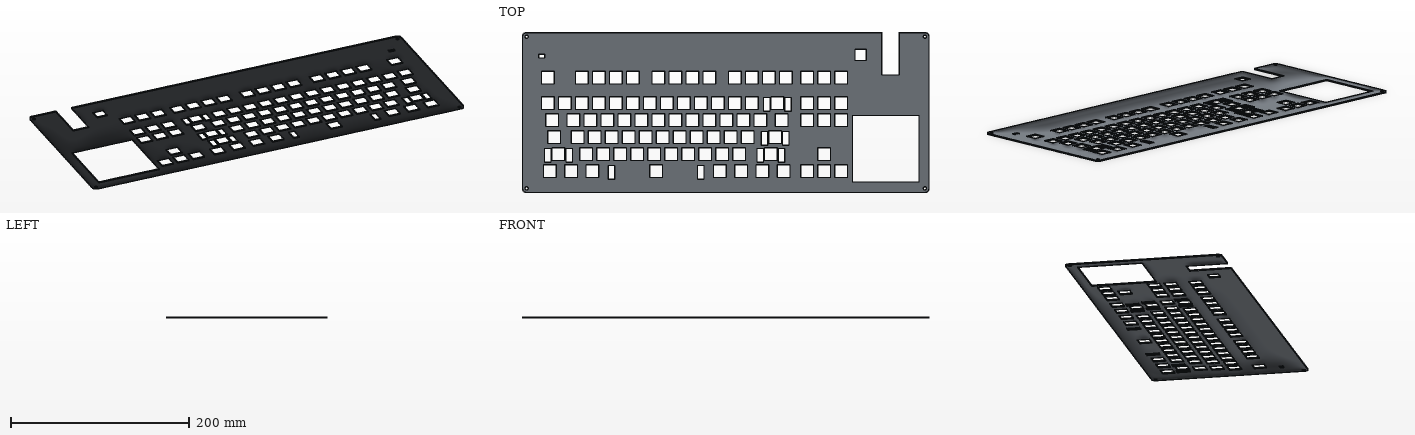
import cadquery as cq

PLATE_LENGTH = 455.8
PLATE_WIDTH = 179.4
PLATE_THICKNESS = 1.5
CORNER_RADIUS = 4.5

SCREW_DIAMETER = 3.4
SCREW_INSET = 4.7

KEY_UNIT = 19.05
KEY_CUTOUT = 14.0
ESCAPE_X = -199.4
ESCAPE_Y = 39.2
FUNCTION_GAP = 0.5
FUNCTION_ROW = 0
NUMBER_ROW = FUNCTION_ROW + 1 + FUNCTION_GAP
TAB_ROW = NUMBER_ROW + 1
CAPS_ROW = NUMBER_ROW + 2
SHIFT_ROW = NUMBER_ROW + 3
BOTTOM_ROW = NUMBER_ROW + 4

MAIN_BLOCK_END = 15
NAVIGATION_GAP = 0.25
NAVIGATION_START = MAIN_BLOCK_END + NAVIGATION_GAP
NAVIGATION_COUNT = 3
FUNCTION_GROUP_STARTS = (2, 6.5, 11)
FUNCTION_GROUP_SIZE = 4
NUMBER_COUNT = 13
TAB_WIDTH = 1.5
TAB_COUNT = 12
CAPS_WIDTH = 1.75
CAPS_COUNT = 11
SHIFT_WIDTH = 2.25
SHIFT_COUNT = 10
MODIFIER_WIDTH = 1.25
LEFT_MODIFIERS = 3
RIGHT_MODIFIERS = 4

STABILISER_WIDTH = 7.0
STABILISER_TOP = 6.0
STABILISER_BOTTOM = -9.0
STABILISER_REACH = 11.94
SPACE_STABILISER_REACH = 50.0

INDICATOR_LENGTH = 6.6
INDICATOR_WIDTH = 4.0
INDICATOR_CENTER = (-206.2, 63.3)
SWITCH_SIDE = 12.5
SWITCH_CENTER = (151.2, 64.6)
WINDOW_SIDE = 74.2
WINDOW_CENTER = (179.3, -40.5)
NOTCH_WIDTH = 19.2
NOTCH_DEPTH = 47.6
NOTCH_CENTER_X = 184.7


def run_of_keys(start, count):
    """Positions of neighbouring one-unit keys, in key units."""
    return [start + index for index in range(count)]


def wide_key(start, key_width):
    """Centre of a wide key whose left side is start units from the escape key's left side."""
    return start + (key_width - 1) / 2


def run_of_wide_keys(start, key_width, count):
    """Centres of neighbouring keys of one width, in key units."""
    return [wide_key(start + index * key_width, key_width) for index in range(count)]


def key_point(column, row):
    """Plate coordinates of a position on the key grid."""
    return (ESCAPE_X + column * KEY_UNIT, ESCAPE_Y - row * KEY_UNIT)


BACKSPACE = wide_key(NUMBER_COUNT, MAIN_BLOCK_END - NUMBER_COUNT)
TAB = wide_key(0, TAB_WIDTH)
BACKSLASH = wide_key(MAIN_BLOCK_END - TAB_WIDTH, TAB_WIDTH)
CAPS_LOCK = wide_key(0, CAPS_WIDTH)
ENTER = wide_key(CAPS_WIDTH + CAPS_COUNT, MAIN_BLOCK_END - CAPS_WIDTH - CAPS_COUNT)
LEFT_SHIFT = wide_key(0, SHIFT_WIDTH)
RIGHT_SHIFT = wide_key(SHIFT_WIDTH + SHIFT_COUNT, MAIN_BLOCK_END - SHIFT_WIDTH - SHIFT_COUNT)
SPACE_START = LEFT_MODIFIERS * MODIFIER_WIDTH
SPACE_END = MAIN_BLOCK_END - RIGHT_MODIFIERS * MODIFIER_WIDTH
SPACE_BAR = wide_key(SPACE_START, SPACE_END - SPACE_START)

FUNCTION_KEYS = []
for group_start in FUNCTION_GROUP_STARTS:
    FUNCTION_KEYS += run_of_keys(group_start, FUNCTION_GROUP_SIZE)

NAVIGATION_KEYS = run_of_keys(NAVIGATION_START, NAVIGATION_COUNT)
UP_ARROW = NAVIGATION_START + 1

KEY_ROWS = {
    FUNCTION_ROW: [0] + FUNCTION_KEYS + NAVIGATION_KEYS,
    NUMBER_ROW: run_of_keys(0, NUMBER_COUNT) + [BACKSPACE] + NAVIGATION_KEYS,
    TAB_ROW: [TAB] + run_of_keys(TAB_WIDTH, TAB_COUNT) + [BACKSLASH] + NAVIGATION_KEYS,
    CAPS_ROW: [CAPS_LOCK] + run_of_keys(CAPS_WIDTH, CAPS_COUNT) + [ENTER],
    SHIFT_ROW: [LEFT_SHIFT] + run_of_keys(SHIFT_WIDTH, SHIFT_COUNT) + [RIGHT_SHIFT, UP_ARROW],
    BOTTOM_ROW: run_of_wide_keys(0, MODIFIER_WIDTH, LEFT_MODIFIERS)
    + [SPACE_BAR]
    + run_of_wide_keys(SPACE_END, MODIFIER_WIDTH, RIGHT_MODIFIERS)
    + NAVIGATION_KEYS,
}

STABILISED_KEYS = [
    (BACKSPACE, NUMBER_ROW, STABILISER_REACH),
    (ENTER, CAPS_ROW, STABILISER_REACH),
    (LEFT_SHIFT, SHIFT_ROW, STABILISER_REACH),
    (RIGHT_SHIFT, SHIFT_ROW, STABILISER_REACH),
    (SPACE_BAR, BOTTOM_ROW, SPACE_STABILISER_REACH),
]


def make_plate():
    """Flat plate with rounded corners, centred on the Z axis with its underside at Z = 0."""
    blank = cq.Workplane("XY").box(PLATE_LENGTH, PLATE_WIDTH, PLATE_THICKNESS, centered=(True, True, False))
    return blank.edges("|Z").fillet(CORNER_RADIUS)


def cut_rectangles(plate, centers, length, width):
    """Cut equal rectangular openings through the plate."""
    cutters = cq.Workplane("XY").pushPoints(centers).rect(length, width).extrude(PLATE_THICKNESS)
    return plate.cut(cutters)


def cut_screw_holes(plate):
    """Cut one screw hole near each corner."""
    return (
        plate.faces(">Z")
        .workplane(origin=(0, 0, PLATE_THICKNESS))
        .rect(PLATE_LENGTH - 2 * SCREW_INSET, PLATE_WIDTH - 2 * SCREW_INSET, forConstruction=True)
        .vertices()
        .hole(SCREW_DIAMETER)
    )


def cut_keys(plate):
    """Cut a square opening for every key switch."""
    centers = [key_point(column, row) for row, columns in KEY_ROWS.items() for column in columns]
    return cut_rectangles(plate, centers, KEY_CUTOUT, KEY_CUTOUT)


def cut_stabilisers(plate):
    """Cut a pair of slots beside each wide key."""
    slot_height = STABILISER_TOP - STABILISER_BOTTOM
    slot_offset = (STABILISER_TOP + STABILISER_BOTTOM) / 2
    centers = []
    for column, row, reach in STABILISED_KEYS:
        key_x, key_y = key_point(column, row)
        for side in (-1, 1):
            centers.append((key_x + side * reach, key_y + slot_offset))
    return cut_rectangles(plate, centers, STABILISER_WIDTH, slot_height)


def cut_notch(plate):
    """Cut the notch that opens through the back edge."""
    notch_center = (NOTCH_CENTER_X, (PLATE_WIDTH - NOTCH_DEPTH) / 2)
    return cut_rectangles(plate, [notch_center], NOTCH_WIDTH, NOTCH_DEPTH)


result = make_plate()
result = cut_screw_holes(result)
result = cut_keys(result)
result = cut_stabilisers(result)
result = cut_rectangles(result, [INDICATOR_CENTER], INDICATOR_LENGTH, INDICATOR_WIDTH)
result = cut_rectangles(result, [SWITCH_CENTER], SWITCH_SIDE, SWITCH_SIDE)
result = cut_rectangles(result, [WINDOW_CENTER], WINDOW_SIDE, WINDOW_SIDE)
result = cut_notch(result)